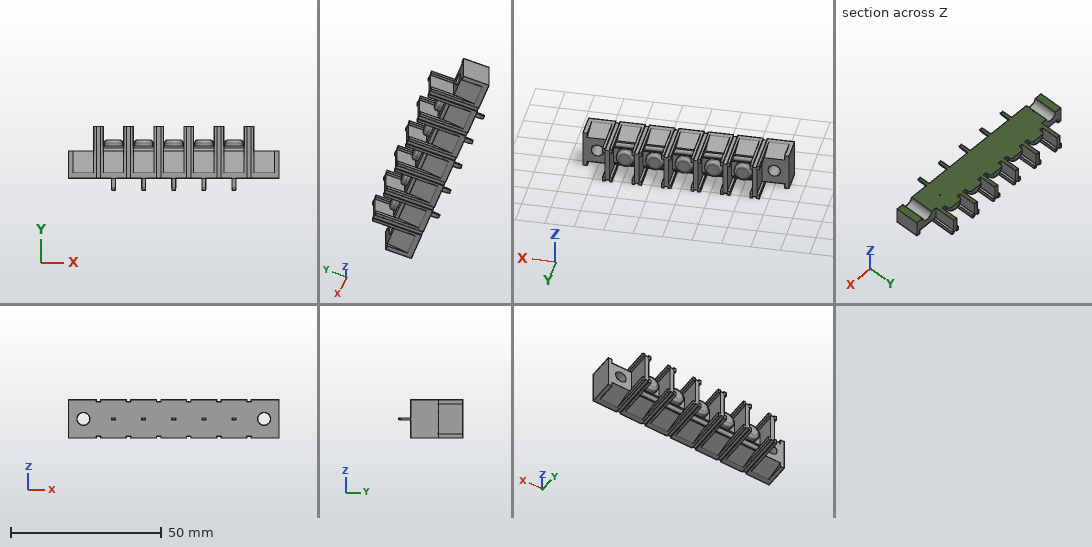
import cadquery as cq
import math

pole_count = 5
pitch = 10.0
body_length = 70.0
body_height = 9.2
body_depth = 12.8
half_depth = body_depth / 2

barrier_top = 17.3
flange_width = 3.2
flange_thickness = 1.5
web_width = 1.55
groove_width = 1.4
groove_depth = 0.6

end_wall = 1.5
pocket_start = 1.95
pocket_depth = 1.7

plate_height = 1.0
plate_depth = 8.4
washer_height = 0.55
washer_depth = 5.75
screw_radius = 3.1
screw_height = 2.1
screw_round = 1.05

pin_width = 1.4
pin_thickness = 0.8
pin_length = 4.0
pin_tip_length = 1.0
pin_tip_inset = 0.15

mount_hole_diameter = 4.2
mount_hole_x = (pole_count + 1) * pitch / 2

pole_positions = [(i - (pole_count - 1) / 2) * pitch for i in range(pole_count)]
barrier_positions = [(i - pole_count / 2) * pitch for i in range(pole_count + 1)]


def box(x_min, x_max, y_min, y_max, z_min, z_max):
    """Block between the given limits."""
    block = cq.Workplane("XY").box(x_max - x_min, y_max - y_min, z_max - z_min, centered=False)
    return block.translate((x_min, y_min, z_min))


def centred_box(x, width, y_min, y_max, depth):
    """Block centred on x and on Z = 0."""
    return box(x - width / 2, x + width / 2, y_min, y_max, -depth / 2, depth / 2)


def both_sides(shape):
    """A shape joined with its mirror image across Z = 0."""
    return shape.union(shape.mirror("XY"))


def barrier(x):
    """Thin web carrying a wide flange along each long side."""
    web = centred_box(x, web_width, 0, barrier_top, body_depth)
    flange = box(
        x - flange_width / 2, x + flange_width / 2,
        0, barrier_top,
        half_depth - flange_thickness, half_depth,
    )
    return web.union(both_sides(flange))


def barrier_grooves(x):
    """Grooves along the outer faces of both flanges of a barrier."""
    groove = box(
        x - groove_width / 2, x + groove_width / 2,
        0, barrier_top,
        half_depth - groove_depth, half_depth,
    )
    return both_sides(groove)


def pockets(x_min, x_max):
    """Wedges that deepen from the long sides of the body towards its top."""
    wedge = (
        cq.Workplane("YZ", origin=(x_min, 0, 0))
        .moveTo(pocket_start, half_depth)
        .lineTo(body_height, half_depth)
        .lineTo(body_height, half_depth - pocket_depth)
        .close()
        .extrude(x_max - x_min)
    )
    return both_sides(wedge)


def clamp(x):
    """Plate with quarter-round long edges and a square-edged washer, both reaching from web to web."""
    width = pitch - web_width
    plate_top = body_height + plate_height
    flat_half = plate_depth / 2 - plate_height
    bend = plate_height * math.sin(math.radians(45))
    plate = (
        cq.Workplane("YZ", origin=(x - width / 2, 0, 0))
        .moveTo(body_height, -plate_depth / 2)
        .threePointArc((body_height + bend, -flat_half - bend), (plate_top, -flat_half))
        .lineTo(plate_top, flat_half)
        .threePointArc((body_height + bend, flat_half + bend), (body_height, plate_depth / 2))
        .close()
        .extrude(width)
    )
    washer = centred_box(x, width, plate_top, plate_top + washer_height, washer_depth)
    return plate.union(washer)


def screw_head(x):
    """Round head seated on the washer."""
    seat = body_height + plate_height + washer_height
    head = (
        cq.Workplane("XZ", origin=(x, seat, 0))
        .circle(screw_radius)
        .extrude(-screw_height)
    )
    return head.faces(">Y").edges().fillet(screw_round)


def solder_pin(x):
    """Flat pin below the body with a tapered tip."""
    shank_end = pin_tip_length - pin_length
    shank = centred_box(x, pin_width, shank_end, 0, pin_thickness)
    tip = (
        cq.Workplane("XZ", origin=(x, shank_end, 0))
        .rect(pin_width, pin_thickness)
        .workplane(offset=pin_tip_length)
        .rect(pin_width - 2 * pin_tip_inset, pin_thickness - 2 * pin_tip_inset)
        .loft()
    )
    return shank.union(tip)


body = centred_box(0, body_length, 0, body_height, body_depth)
pocket_edge = body_length / 2 - end_wall
body = body.cut(pockets(-pocket_edge, pocket_edge))

for x in barrier_positions:
    body = body.union(barrier(x))

for x in pole_positions:
    body = body.union(clamp(x)).union(screw_head(x)).union(solder_pin(x))

for x in barrier_positions:
    body = body.cut(barrier_grooves(x))

for x in (-mount_hole_x, mount_hole_x):
    hole = cq.Workplane("XZ", origin=(x, 0, 0)).circle(mount_hole_diameter / 2).extrude(-body_height)
    body = body.cut(hole)

result = body